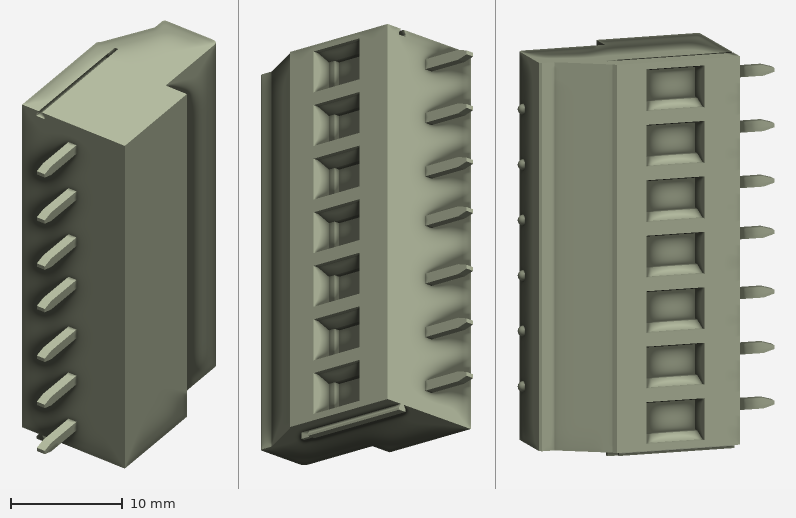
import cadquery as cq


pole_count = 7
body_width = 11.2
body_depth = 18.0
body_height = 35.55
pitch = body_height / pole_count
step_depth = 9.75
upper_right = 8.9
upper_left = 2.95
corner_radius = 0.55
slope_start_depth = 11.7
slope_end_depth = 16.6
slope_break = 0.3
back_bevel_width = 0.15
back_bevel_depth = 0.2

pocket_near = 3.35
pocket_far = 8.9
pocket_height = 3.87
pocket_straight = 0.6
pocket_floor = 2.05
pocket_taper = 0.5
slot_far = 8.2
slot_floor = 2.68

pin_left = 5.05
pin_width = 0.85
pin_thickness = 0.95
pin_length = 5.0
pin_tip_length = 1.0
pin_tip_thickness = 0.35
offset_pole = 3
offset_pole_shift = 0.4

dovetail_x = 2.0
dovetail_neck = 0.35
dovetail_wide = 0.9
dovetail_base = 0.85
dovetail_flare = 0.4
dovetail_height = 0.6
dovetail_length = 10.95
dovetail_end = 11.97

nub_x = 7.45
nub_radius = 0.5


def make_housing():
    outline = (
        cq.Workplane("XY")
        .lineTo(body_width, 0)
        .lineTo(body_width, step_depth)
        .lineTo(upper_right, step_depth)
        .lineTo(upper_right, body_depth - corner_radius)
        .radiusArc((upper_right - corner_radius, body_depth), -corner_radius)
        .lineTo(upper_left + back_bevel_width, body_depth)
        .lineTo(upper_left, body_depth - back_bevel_depth)
        .lineTo(upper_left, slope_end_depth)
        .lineTo(slope_break, slope_start_depth + slope_break)
        .lineTo(0, slope_start_depth)
        .close()
    )
    return outline.extrude(body_height)


def make_pocket(z_center):
    half = pocket_height / 2
    throat_half = half - pocket_taper
    entry = (
        cq.Workplane("XZ", origin=(0, pocket_near, z_center))
        .moveTo(0, -half)
        .lineTo(pocket_straight, -half)
        .lineTo(pocket_floor, -throat_half)
        .lineTo(pocket_floor, throat_half)
        .lineTo(pocket_straight, half)
        .lineTo(0, half)
        .close()
        .extrude(-(pocket_far - pocket_near))
    )
    slot = cq.Workplane("XY").box(
        slot_floor, slot_far - pocket_near, 2 * throat_half, centered=(False, False, True)
    )
    return entry.union(slot.translate((0, pocket_near, z_center)))


def make_pin(z_center):
    half = pin_thickness / 2
    tip_half = pin_tip_thickness / 2
    shoulder = pin_tip_length - pin_length
    return (
        cq.Workplane("YZ", origin=(pin_left, 0, z_center))
        .moveTo(0, half)
        .lineTo(shoulder, half)
        .lineTo(-pin_length, tip_half)
        .lineTo(-pin_length, -tip_half)
        .lineTo(shoulder, -half)
        .lineTo(0, -half)
        .close()
        .extrude(pin_width)
    )


def make_dovetail(z_top):
    half_neck = dovetail_neck / 2
    half_wide = dovetail_wide / 2
    half_base = dovetail_base / 2
    bar = (
        cq.Workplane("XZ", origin=(dovetail_x, 0, z_top))
        .moveTo(-half_neck, 0)
        .lineTo(half_neck, 0)
        .lineTo(half_wide, -dovetail_flare)
        .lineTo(half_base, -dovetail_height)
        .lineTo(-half_base, -dovetail_height)
        .lineTo(-half_wide, -dovetail_flare)
        .close()
        .extrude(-dovetail_length)
    )
    neck = cq.Workplane("XY").box(
        dovetail_neck, dovetail_end, dovetail_height, centered=(True, False, False)
    )
    return bar.union(neck.translate((dovetail_x, 0, z_top - dovetail_height)))


def make_nub(z_center):
    return cq.Workplane("XY").sphere(nub_radius).translate((nub_x, body_depth, z_center))


result = make_housing().cut(make_dovetail(body_height)).union(make_dovetail(0))

for pole in range(pole_count):
    pole_center = (pole + 0.5) * pitch
    pin_center = pole_center + (offset_pole_shift if pole == offset_pole else 0)
    result = result.cut(make_pocket(pole_center)).union(make_pin(pin_center))

for boundary in range(1, pole_count):
    result = result.union(make_nub(boundary * pitch))